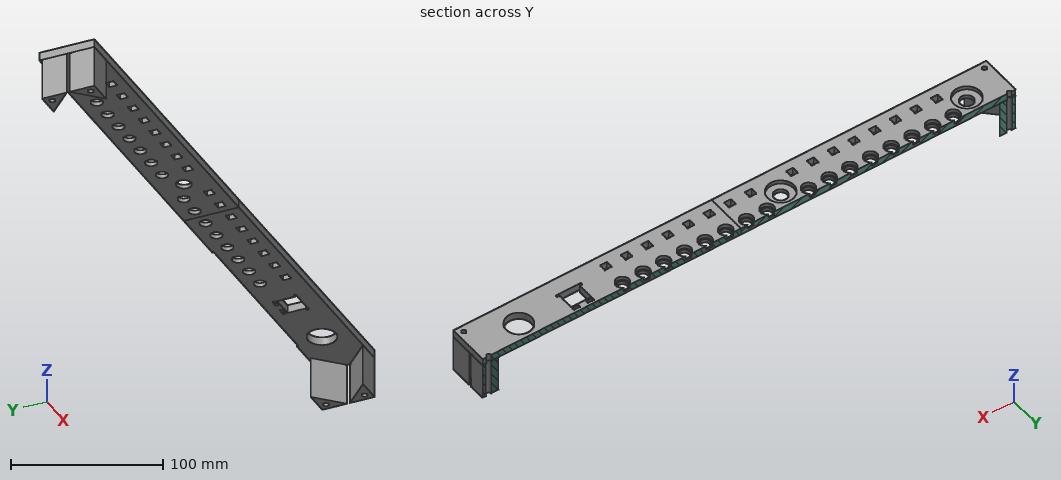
import cadquery as cq

total_length = 431.8
panel_width = 40.0
total_height = 36.0
panel_thickness = 6.0
leg_height = total_height - panel_thickness

column_pitch = 16.75
first_column_x = 30.4
column_count = 18
washer_columns = (0, 9)
joint_x = 222.6

washer_y = 20.4
washer_bore_diameter = 10.5
washer_recess_diameter = 21.0
washer_recess_depth = 3.0

jack_y = 28.4
jack_bore_diameter = 8.2
jack_recess_diameter = 10.4
jack_recess_depth = 3.0

window_y = 9.8
window_size = 5.5

socket_x = 348.0
socket_width = 16.2
socket_front_y = 13.0
socket_back_y = 27.6
side_slot_span = 20.3
side_slot_depth = 1.5
clip_slot_length = 5.0
clip_slot_width = 2.0
clip_slot_y = 28.8

round_opening_x = 393.0
round_opening_y = 20.0
round_opening_diameter = 20.3

relief_start_x = 266.5
relief_end_x = 396.5
relief_depth = 1.0

leg_side = 18.0
leg_span = 38.0
screw_inset = 5.0
panel_screw_diameter = 3.5
leg_insert_diameter = 4.0


def column_x(column):
    return first_column_x + column * column_pitch


def through_box(x_min, x_max, y_min, y_max):
    """A block that passes right through the panel thickness."""
    return (
        cq.Workplane("XY", origin=(0, 0, leg_height))
        .moveTo((x_min + x_max) / 2, (y_min + y_max) / 2)
        .rect(x_max - x_min, y_max - y_min)
        .extrude(panel_thickness)
    )


def top_holes(body, points, diameter, depth):
    """Round holes sunk from the top face."""
    cutter = (
        cq.Workplane("XY", origin=(0, 0, total_height))
        .pushPoints(points)
        .circle(diameter / 2)
        .extrude(-depth)
    )
    return body.cut(cutter)


def cut_columns(panel, columns):
    """Jack holes and square windows at the given grid columns."""
    jacks = [(column_x(column), jack_y) for column in columns]
    panel = top_holes(panel, jacks, jack_bore_diameter, panel_thickness)
    panel = top_holes(panel, jacks, jack_recess_diameter, jack_recess_depth)
    half = window_size / 2
    for column in columns:
        x = column_x(column)
        panel = panel.cut(through_box(x - half, x + half, window_y - half, window_y + half))
    return panel


def cut_panel_screws(panel, x):
    screws = [(x, screw_inset), (x, leg_span - screw_inset)]
    return top_holes(panel, screws, panel_screw_diameter, panel_thickness)


def make_left_panel():
    panel = through_box(0, joint_x, 0, panel_width)
    columns = [c for c in range(column_count) if column_x(c) < joint_x and c not in washer_columns]
    panel = cut_columns(panel, columns)
    washers = [(column_x(column), washer_y) for column in washer_columns]
    panel = top_holes(panel, washers, washer_bore_diameter, panel_thickness)
    panel = top_holes(panel, washers, washer_recess_diameter, washer_recess_depth)
    return cut_panel_screws(panel, screw_inset)


def cut_socket(panel):
    """Near-square opening with side slots at its front and two clip slots behind it."""
    half = socket_width / 2
    panel = panel.cut(through_box(socket_x - half, socket_x + half, socket_front_y, socket_back_y))
    panel = panel.cut(
        through_box(
            socket_x - side_slot_span / 2,
            socket_x + side_slot_span / 2,
            socket_front_y,
            socket_front_y + side_slot_depth,
        )
    )
    for x_min in (socket_x - half, socket_x + half - clip_slot_length):
        panel = panel.cut(
            through_box(x_min, x_min + clip_slot_length, clip_slot_y, clip_slot_y + clip_slot_width)
        )
    return panel


def make_right_panel():
    panel = through_box(joint_x, total_length, 0, panel_width)
    panel = panel.cut(through_box(relief_start_x, relief_end_x, panel_width - relief_depth, panel_width))
    panel = cut_columns(panel, [c for c in range(column_count) if column_x(c) > joint_x])
    panel = cut_socket(panel)
    panel = top_holes(
        panel, [(round_opening_x, round_opening_y)], round_opening_diameter, panel_thickness
    )
    return cut_panel_screws(panel, total_length - screw_inset)


def make_leg(corner_x, corner_y, x_direction, y_direction):
    """Right-angled triangular leg with a screw hole, growing inward from its outer corner."""
    return (
        cq.Workplane("XY")
        .moveTo(corner_x, corner_y)
        .lineTo(corner_x + x_direction * leg_side, corner_y)
        .lineTo(corner_x, corner_y + y_direction * leg_side)
        .close()
        .moveTo(corner_x + x_direction * screw_inset, corner_y + y_direction * screw_inset)
        .circle(leg_insert_diameter / 2)
        .extrude(leg_height)
    )


left_panel = make_left_panel()
right_panel = make_right_panel()
legs = [
    make_leg(corner_x, corner_y, x_direction, y_direction)
    for corner_x, x_direction in ((0, 1), (total_length, -1))
    for corner_y, y_direction in ((0, 1), (leg_span, -1))
]

result = cq.Compound.makeCompound(
    [left_panel.val(), right_panel.val()] + [leg.val() for leg in legs]
)